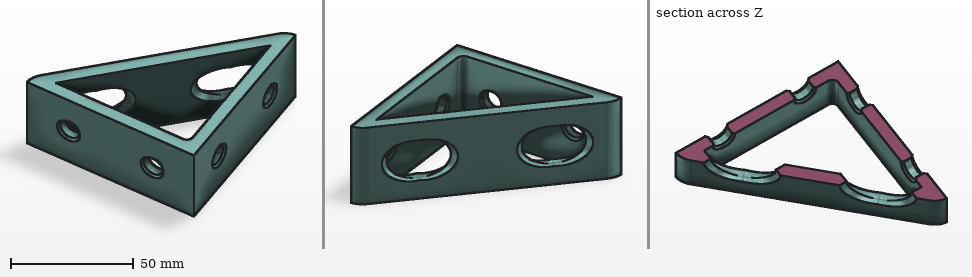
import cadquery as cq
import math

leg_length = 79.98
height = 36.0
wall = 5.75
tip_radius = 10.0
tip_centre_along = 70.0
inner_corner_radius = 3.0

hole_positions = (20.0, 60.0)
hole_diameter = 9.0
hole_chamfer = 1.0
access_diameter = 19.0

tip_centre_across = -math.sqrt(tip_radius**2 - (leg_length - tip_centre_along) ** 2)

outer_slope_offset = tip_centre_along + tip_centre_across + tip_radius * math.sqrt(2)
inner_slope_offset = outer_slope_offset - wall * math.sqrt(2)


def on_tip_arc(angle):
    """Point of the tip arc at an angle measured from the leg direction."""
    along = tip_centre_along + tip_radius * math.cos(angle)
    across = tip_centre_across + tip_radius * math.sin(angle)
    return along, across


def make_outer_triangle():
    slope_angle = math.radians(45)
    end_angle = math.asin(-tip_centre_across / tip_radius)
    tangent_point = on_tip_arc(slope_angle)
    middle_point = on_tip_arc((slope_angle + end_angle) / 2)

    def on_x_leg(point):
        return -point[0], point[1]

    def on_y_leg(point):
        return -point[1], point[0]

    return (
        cq.Workplane("XY")
        .moveTo(0, 0)
        .lineTo(0, leg_length)
        .threePointArc(on_y_leg(middle_point), on_y_leg(tangent_point))
        .lineTo(*on_x_leg(tangent_point))
        .threePointArc(on_x_leg(middle_point), (-leg_length, 0))
        .close()
        .extrude(height)
    )


def make_window():
    inner_reach = inner_slope_offset - wall
    window = (
        cq.Workplane("XY")
        .polyline([(-wall, wall), (-wall, inner_reach), (-inner_reach, wall)])
        .close()
        .extrude(height)
    )
    corner_edge = cq.selectors.NearestToPointSelector((-wall, wall, height / 2))
    return window.edges(corner_edge).fillet(inner_corner_radius)


def make_screw_cutter(position):
    """Cutter along +Y: double-chamfered screw hole in the leg, then head access through the sloped wall."""
    hole_radius = hole_diameter / 2
    mouth_radius = hole_radius + hole_chamfer
    access_radius = access_diameter / 2
    return (
        cq.Workplane("XY")
        .polyline([
            (0, 0),
            (mouth_radius, 0),
            (hole_radius, hole_chamfer),
            (hole_radius, wall - hole_chamfer),
            (mouth_radius, wall),
            (access_radius, wall),
            (access_radius, leg_length),
            (0, leg_length),
        ])
        .close()
        .revolve(360, (0, 0), (0, 1))
        .translate((-position, 0, height / 2))
    )


result = make_outer_triangle().cut(make_window())
for position in hole_positions:
    x_leg_cutter = make_screw_cutter(position)
    y_leg_cutter = x_leg_cutter.mirror("YZ").rotate((0, 0, 0), (0, 0, 1), 90)
    result = result.cut(x_leg_cutter).cut(y_leg_cutter)